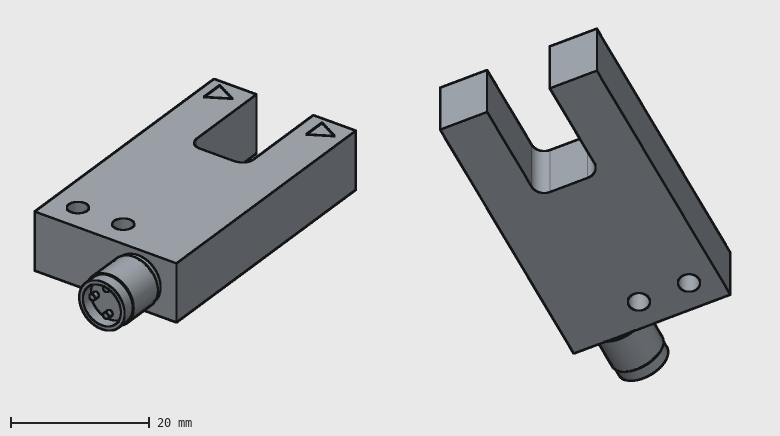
import cadquery as cq

BODY_WIDTH = 25.0
BODY_LENGTH = 44.95
BODY_HEIGHT = 10.0

GAP_WIDTH = 10.0
GAP_DEPTH = 17.0
GAP_CORNER_RADIUS = 2.0

HOLE_DIAMETER = 3.2
HOLE_INSET = 4.5
HOLE_SPACING = 8.0

ARROW_LENGTH = 3.6
ARROW_WIDTH = 3.95
ARROW_SIDE_INSET = 1.65
ARROW_END_INSET = 0.95
ARROW_SPACING = 18.0
ARROW_DEPTH = 0.1

PLUG_X = 18.2
PLUG_Z = BODY_HEIGHT / 2
PLUG_LENGTH = 53.95 - BODY_LENGTH
PLUG_DIAMETER = 8.05
COLLAR_DIAMETER = 8.4
COLLAR_START = 0.95
COLLAR_LENGTH = 6.05
SOCKET_DIAMETER = 6.7
SOCKET_DEPTH = 2.0

PIN_DIAMETER = 1.0
PIN_LENGTH = 0.95
PIN_OFFSET_Z = 2.25
PIN_OFFSET_X = 2.45
PIN_POSITIONS = [(0, PIN_OFFSET_Z), (0, -PIN_OFFSET_Z), (-PIN_OFFSET_X, 0)]


def make_body():
    body = cq.Workplane("XY").box(BODY_WIDTH, BODY_LENGTH, BODY_HEIGHT, centered=False)
    gap = (
        cq.Workplane("XY")
        .box(GAP_WIDTH, GAP_DEPTH, BODY_HEIGHT, centered=False)
        .edges("|Z and <Y")
        .fillet(GAP_CORNER_RADIUS)
        .translate(((BODY_WIDTH - GAP_WIDTH) / 2, BODY_LENGTH - GAP_DEPTH, 0))
    )
    holes = (
        cq.Workplane("XY")
        .pushPoints([(HOLE_INSET, HOLE_INSET), (HOLE_INSET + HOLE_SPACING, HOLE_INSET)])
        .circle(HOLE_DIAMETER / 2)
        .extrude(BODY_HEIGHT)
    )
    return body.cut(gap).cut(holes)


def make_arrow(base_x):
    """Arrow-shaped cutter pointing towards +X, with its base at base_x."""
    top_y = BODY_LENGTH - ARROW_END_INSET
    return (
        cq.Workplane("XY", origin=(0, 0, BODY_HEIGHT))
        .moveTo(base_x, top_y)
        .lineTo(base_x + ARROW_LENGTH, top_y - ARROW_WIDTH / 2)
        .lineTo(base_x, top_y - ARROW_WIDTH)
        .close()
        .extrude(-ARROW_DEPTH)
    )


def plug_cylinder(diameter, start, length, positions=((0, 0),)):
    """Cylinders along -Y, placed relative to the plug axis and starting at a distance from the body."""
    return (
        cq.Workplane("XZ", origin=(PLUG_X, -start, PLUG_Z))
        .pushPoints(positions)
        .circle(diameter / 2)
        .extrude(length)
    )


def make_plug():
    socket_floor = PLUG_LENGTH - SOCKET_DEPTH
    barrel = plug_cylinder(PLUG_DIAMETER, 0, PLUG_LENGTH)
    collar = plug_cylinder(COLLAR_DIAMETER, COLLAR_START, COLLAR_LENGTH)
    socket = plug_cylinder(SOCKET_DIAMETER, socket_floor, SOCKET_DEPTH)
    pins = plug_cylinder(PIN_DIAMETER, socket_floor, PIN_LENGTH, PIN_POSITIONS)
    return barrel.union(collar).cut(socket).union(pins)


result = make_body().union(make_plug())
for base_x in (ARROW_SIDE_INSET, ARROW_SIDE_INSET + ARROW_SPACING):
    result = result.cut(make_arrow(base_x))